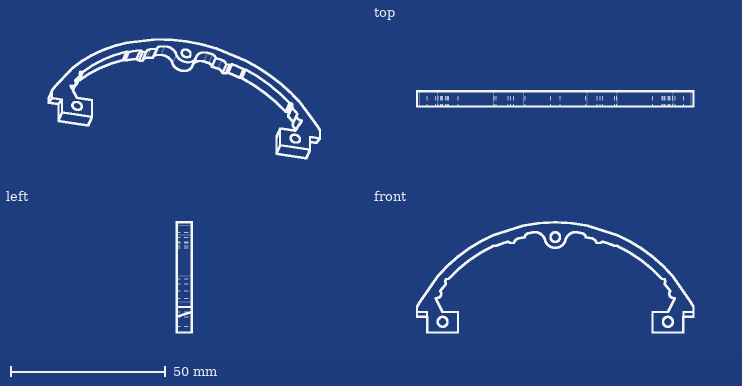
import cadquery as cq
import math

width = 89.3
thickness = 5.0
height = 35.6
half_width = width / 2

outer_radius = 50.0
inner_radius = 46.8
arc_center_z = height - outer_radius
crown_x = 10.3
flank_top_x = 19.9
flank_bottom_x = 37.95
shoulder_x = 43.8
side_top_z = 8.3
inner_top_x = 19.8
inner_bottom_x = 34.5

foot_outer_x = 41.35
foot_width = 10.0
foot_height = 6.7
foot_inner_x = foot_outer_x - foot_width
foot_hole_x = foot_outer_x - foot_width / 2
foot_hole_z = 3.5
foot_hole_diameter = 3.1

overhang_back_z = 5.1

lug_z = 30.8
lug_radius = 3.5
lug_hole_diameter = 3.0
lug_join_angle = math.radians(20)
lug_mid_angle = math.radians(55)


def on_arc(radius, x):
    """Point of a band arc on the left half, at distance x from the mirror plane."""
    return (-x, arc_center_z + math.sqrt(radius**2 - x**2))


def arc_between(profile, radius, start_x, end_x):
    """Continue the profile along a band arc."""
    return profile.threePointArc(on_arc(radius, (start_x + end_x) / 2), on_arc(radius, end_x))


def on_lug(angle):
    return (-lug_radius * math.cos(angle), lug_z - lug_radius * math.sin(angle))


def half_profile():
    """Closed left half of the frame, drawn in the XZ plane."""
    profile = cq.Workplane("XZ").moveTo(0, height)

    profile = arc_between(profile, outer_radius, 0, crown_x)
    profile = profile.lineTo(*on_arc(outer_radius, flank_top_x))
    profile = arc_between(profile, outer_radius, flank_top_x, flank_bottom_x)
    profile = (
        profile.lineTo(*on_arc(outer_radius, shoulder_x))
        .lineTo(-half_width, side_top_z)
        .lineTo(-half_width, overhang_back_z)
        .lineTo(-foot_outer_x, overhang_back_z)
        .lineTo(-foot_outer_x, 0)
        .lineTo(-foot_inner_x, 0)
        .lineTo(-foot_inner_x, foot_height)
        .lineTo(-foot_hole_x, foot_height)
    )
    profile = (
        profile.lineTo(-38.6, 11.1)
        .lineTo(-37.9, 11.2)
        .threePointArc((-37.0, 11.8), (-36.8, 12.9))
        .lineTo(-37.1, 13.5)
        .lineTo(-35.2, 15.7)
        .threePointArc((-35.45, 16.6), (-35.2, 17.2))
        .lineTo(*on_arc(inner_radius, inner_bottom_x))
    )
    profile = arc_between(profile, inner_radius, inner_bottom_x, inner_top_x)
    profile = (
        profile.lineTo(-19.1, 27.95)
        .threePointArc((-17.15, 28.71), (-15.3, 29.3))
        .lineTo(-14.5, 28.8)
        .lineTo(-13.4, 28.8)
        .threePointArc((-12.8, 29.8), (-11.9, 30.4))
        .lineTo(-9.8, 30.7)
        .threePointArc((-9.55, 31.4), (-8.8, 32.0))
        .lineTo(-7.1, 32.3)
        .threePointArc((-4.8, 31.9), on_lug(lug_join_angle))
    )
    profile = profile.threePointArc(on_lug(lug_mid_angle), (0, lug_z - lug_radius))
    return profile.close()


def overhang_wedge():
    """Cutter that slopes the overhang underside up toward the front (-Y)."""
    return (
        cq.Workplane("YZ", origin=(-half_width, 0, 0))
        .moveTo(thickness / 2, overhang_back_z)
        .lineTo(-thickness / 2, overhang_back_z)
        .lineTo(-thickness / 2, foot_height)
        .close()
        .extrude(half_width - foot_outer_x)
    )


def through_holes(points, diameter):
    """Round cutters along Y, through the full thickness."""
    return cq.Workplane("XZ").pushPoints(points).circle(diameter / 2).extrude(thickness / 2, both=True)


left_half = half_profile().extrude(thickness / 2, both=True).cut(overhang_wedge())
frame = left_half.union(left_half.mirror("YZ"))

foot_hole_points = [(side * foot_hole_x, foot_hole_z) for side in (-1, 1)]
frame = frame.cut(through_holes(foot_hole_points, foot_hole_diameter))
result = frame.cut(through_holes([(0, lug_z)], lug_hole_diameter))